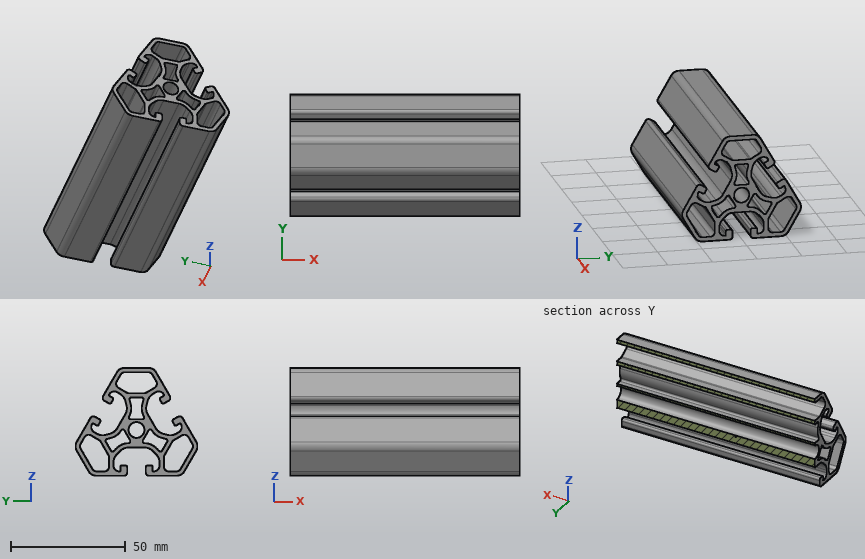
import cadquery as cq
import math


length = 100.0
slot_side_distance = 20.0
lobe_face_distance = 27.1
outer_corner_radius = 4.0
wall = 2.0
bore_diameter = 6.8

mouth_half_width = 4.0
lip_width = 3.0
lip_height = 4.6
mouth_radius = 1.5
lip_tip_outer_radius = 0.9
lip_tip_inner_radius = 0.6
lip_root_radius = 0.3
cavity_half_width = 10.0
cavity_top_distance = 7.7
cavity_bevel = 4.4
cavity_bevel_radius = 5.0
cavity_corner_radius = 2.5
half_bevel_angle = 45.0 / 2

chamber_inner_distance = 16.1
chamber_radius = 2.0
chamber_inner_radius = 1.2

pocket_inner_distance = 4.7
pocket_outer_distance = chamber_inner_distance - wall
pocket_corner_radius = 0.8

repeats = 3
repeat_angle = 360.0 / repeats
lobe_angle = -30.0
lobe_cos = math.cos(math.radians(lobe_angle))
lobe_sin = math.sin(math.radians(lobe_angle))


def lobe_plane_x(distance, y):
    """X where a plane square to the lobe axis, at this distance, meets the level y."""
    return (distance - y * lobe_sin) / lobe_cos


def lobe_plane_y(distance, x):
    """Y where a plane square to the lobe axis, at this distance, meets the given x."""
    return (distance - x * lobe_cos) / lobe_sin


def mirrored(corners, axis_angle):
    """Corners reflected about a line through the bore axis, in reverse order."""
    c = math.cos(math.radians(2 * axis_angle))
    s = math.sin(math.radians(2 * axis_angle))
    return [(x * c + y * s, x * s - y * c, radius) for x, y, radius in reversed(corners)]


def rotated(corners, angle):
    c = math.cos(math.radians(angle))
    s = math.sin(math.radians(angle))
    return [(x * c - y * s, x * s + y * c, radius) for x, y, radius in corners]


def end_plane():
    """Sketch plane on the -X end of the profile."""
    return cq.Workplane("YZ", origin=(-length / 2, 0, 0))


def rounded_prism(corners):
    """Extrude a closed polygon of (x, y, radius) corners, each rounded by a tangent arc."""
    arcs = []
    for i, (x, y, radius) in enumerate(corners):
        corner = cq.Vector(x, y)
        before = cq.Vector(*corners[i - 1][:2])
        after = cq.Vector(*corners[(i + 1) % len(corners)][:2])
        to_before = (before - corner).normalized()
        to_after = (after - corner).normalized()
        half_angle = to_before.getAngle(to_after) / 2
        tangent_length = radius / math.tan(half_angle)
        middle_distance = radius / math.sin(half_angle) - radius
        middle = corner + (to_before + to_after).normalized() * middle_distance
        arcs.append((corner + to_before * tangent_length, middle, corner + to_after * tangent_length))

    outline = end_plane().moveTo(*arcs[0][0].toTuple()[:2])
    for start, middle, end in arcs:
        if start is not arcs[0][0]:
            outline = outline.lineTo(start.x, start.y)
        outline = outline.threePointArc((middle.x, middle.y), (end.x, end.y))
    return outline.close().extrude(length)


def outer_body():
    side_y = -slot_side_distance
    lip_top_y = side_y + lip_height
    lip_inner_x = mouth_half_width + lip_width
    cavity_floor_y = side_y + wall
    half_slot = [
        (cavity_half_width - cavity_bevel, -cavity_top_distance, cavity_bevel_radius),
        (cavity_half_width, -cavity_top_distance - cavity_bevel, cavity_bevel_radius),
        (cavity_half_width, cavity_floor_y, cavity_corner_radius),
        (lip_inner_x, cavity_floor_y, lip_root_radius),
        (lip_inner_x, lip_top_y, lip_tip_inner_radius),
        (mouth_half_width, lip_top_y, lip_tip_outer_radius),
        (mouth_half_width, side_y, mouth_radius),
        (lobe_plane_x(lobe_face_distance, side_y), side_y, outer_corner_radius),
    ]
    full_side = mirrored(half_slot, 90) + half_slot
    corners = []
    for i in range(repeats):
        corners += rotated(full_side, i * repeat_angle)
    return rounded_prism(corners)


def chamber_corners():
    side_x = cavity_half_width + wall
    floor_y = -slot_side_distance + wall
    outer_x = lobe_plane_x(lobe_face_distance - wall, floor_y)
    half_chamber = [
        (outer_x, floor_y, chamber_radius),
        (side_x, floor_y, chamber_radius),
        (side_x, lobe_plane_y(chamber_inner_distance, side_x), chamber_inner_radius),
    ]
    return half_chamber + mirrored(half_chamber, lobe_angle)


def pocket_corners():
    lower_y = -cavity_top_distance + wall
    bevel_x = cavity_half_width - cavity_bevel + wall * math.tan(math.radians(half_bevel_angle))
    bevel_sum = bevel_x + lower_y
    outer_x = (pocket_outer_distance - bevel_sum * lobe_sin) / (lobe_cos - lobe_sin)
    half_pocket = [
        (outer_x, bevel_sum - outer_x, pocket_corner_radius),
        (bevel_x, lower_y, cavity_bevel_radius + wall),
        (lobe_plane_x(pocket_inner_distance, lower_y), lower_y, pocket_corner_radius),
    ]
    return half_pocket + mirrored(half_pocket, lobe_angle)


def bore():
    return end_plane().circle(bore_diameter / 2).extrude(length)


result = outer_body().cut(bore())
for i in range(repeats):
    for opening in (chamber_corners(), pocket_corners()):
        result = result.cut(rounded_prism(rotated(opening, i * repeat_angle)))